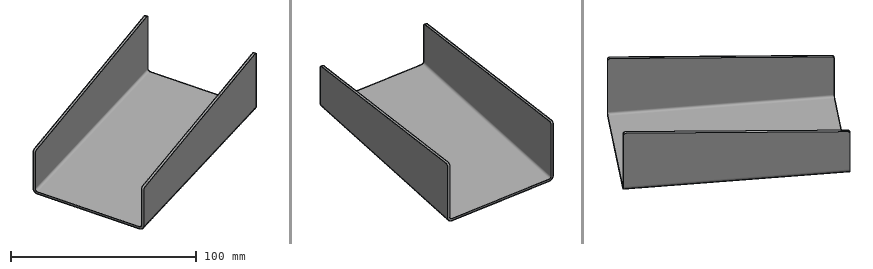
import cadquery as cq

width = 68.5
length = 123.0

thickness = 1.5
bend_outer_radius = 3.0
bend_inner_radius = bend_outer_radius - thickness

front_height = 28.5
back_height = 39.2
corner_radius = 1.5


def channel():
    """U-shaped bent sheet running along Y, with walls of full height."""
    outer = (
        cq.Workplane("XY")
        .box(width, length, back_height, centered=(True, True, False))
        .edges("|Y and <Z")
        .fillet(bend_outer_radius)
    )
    inner = (
        cq.Workplane("XY")
        .workplane(offset=thickness)
        .box(width - 2 * thickness, length, back_height, centered=(True, True, False))
        .edges("|Y and <Z")
        .fillet(bend_inner_radius)
    )
    return outer.cut(inner)


def side_profile():
    """Side outline of the walls, extruded across the full width."""
    return (
        cq.Workplane("YZ")
        .moveTo(-length / 2, 0)
        .lineTo(length / 2, 0)
        .lineTo(length / 2, back_height)
        .lineTo(-length / 2, front_height)
        .close()
        .extrude(width / 2, both=True)
        .edges("|X and (not <Z)")
        .fillet(corner_radius)
    )


result = channel().intersect(side_profile())